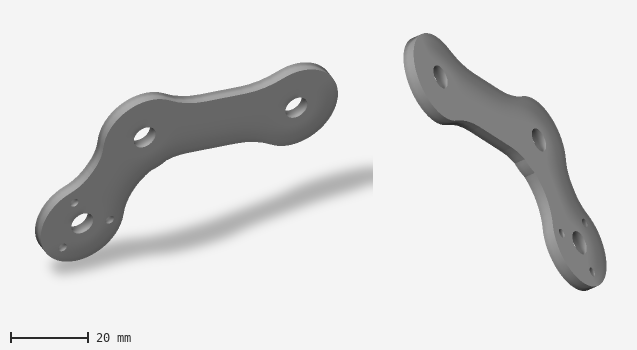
import cadquery as cq
import math

thickness = 3.2
end_radius = 12.05
waist_half_width = 8.0
long_arm_blend = 23.2
outer_elbow_blend = 12.4
inner_elbow_blend = 15.8
pivot_diameter = 6.4
screw_diameter = 2.4
screw_circle_radius = 8.2
screw_count = 3
first_screw_angle = 106.3

far_pivot = (43.9, -7.3)
elbow_pivot = (0.0, 0.0)
near_pivot = (-18.1, -21.9)


def offset(point, direction, distance):
    return (point[0] + direction[0] * distance, point[1] + direction[1] * distance)


def unit_vector(start, end):
    length = math.dist(start, end)
    return ((end[0] - start[0]) / length, (end[1] - start[1]) / length)


def left_normal(direction):
    return (-direction[1], direction[0])


def arc_middle(center, radius, start, end):
    """Middle of the minor arc from start to end."""
    chord_middle = ((start[0] + end[0]) / 2, (start[1] + end[1]) / 2)
    return offset(center, unit_vector(center, chord_middle), radius)


def waist_blend(pivot, other_pivot, side, radius):
    """Tangent arc from the round end at pivot to the arm edge; side is 1 for left, -1 for right.

    Returns the point on the round end, the middle of the arc and the point on the arm edge.
    """
    along = unit_vector(pivot, other_pivot)
    outward = offset((0, 0), left_normal(along), side)
    reach = math.sqrt((end_radius + radius) ** 2 - (waist_half_width + radius) ** 2)
    edge_point = offset(offset(pivot, along, reach), outward, waist_half_width)
    center = offset(edge_point, outward, radius)
    end_point = offset(pivot, unit_vector(pivot, center), end_radius)
    return end_point, arc_middle(center, radius, end_point, edge_point), edge_point


def inner_elbow():
    """Arc tangent to the inner edge of the long arm and to the near round end."""
    along = unit_vector(elbow_pivot, far_pivot)
    inward = left_normal(along)
    inward = (-inward[0], -inward[1])
    to_near = (near_pivot[0] - elbow_pivot[0], near_pivot[1] - elbow_pivot[1])
    near_along = to_near[0] * along[0] + to_near[1] * along[1]
    near_inward = to_near[0] * inward[0] + to_near[1] * inward[1]
    center_depth = waist_half_width + inner_elbow_blend
    span = math.sqrt((end_radius + inner_elbow_blend) ** 2 - (center_depth - near_inward) ** 2)
    edge_point = offset(
        offset(elbow_pivot, along, near_along + span), inward, waist_half_width
    )
    center = offset(edge_point, inward, inner_elbow_blend)
    end_point = offset(near_pivot, unit_vector(near_pivot, center), end_radius)
    return edge_point, arc_middle(center, inner_elbow_blend, edge_point, end_point), end_point


def far_side(pivot, neighbour):
    """Point of a round end that faces away from neighbour."""
    return offset(pivot, unit_vector(neighbour, pivot), end_radius)


def link_plate():
    far_top = waist_blend(far_pivot, elbow_pivot, -1, long_arm_blend)
    elbow_top = waist_blend(elbow_pivot, far_pivot, 1, long_arm_blend)
    elbow_outer = waist_blend(elbow_pivot, near_pivot, -1, outer_elbow_blend)
    near_outer = waist_blend(near_pivot, elbow_pivot, 1, outer_elbow_blend)
    far_bottom = waist_blend(far_pivot, elbow_pivot, 1, long_arm_blend)
    inner_start, inner_middle, inner_end = inner_elbow()
    elbow_crown = arc_middle(elbow_pivot, end_radius, elbow_top[0], elbow_outer[0])
    return (
        cq.Workplane("YZ")
        .moveTo(*far_top[0])
        .threePointArc(far_top[1], far_top[2])
        .lineTo(*elbow_top[2])
        .threePointArc(elbow_top[1], elbow_top[0])
        .threePointArc(elbow_crown, elbow_outer[0])
        .threePointArc(elbow_outer[1], elbow_outer[2])
        .lineTo(*near_outer[2])
        .threePointArc(near_outer[1], near_outer[0])
        .threePointArc(far_side(near_pivot, elbow_pivot), inner_end)
        .threePointArc(inner_middle, inner_start)
        .lineTo(*far_bottom[2])
        .threePointArc(far_bottom[1], far_bottom[0])
        .threePointArc(far_side(far_pivot, elbow_pivot), far_top[0])
        .close()
        .extrude(thickness)
    )


def discs(centers, diameter):
    return cq.Workplane("YZ").pushPoints(centers).circle(diameter / 2).extrude(thickness)


def screw_centers():
    centers = []
    for index in range(screw_count):
        angle = math.radians(first_screw_angle + index * 360 / screw_count)
        centers.append(offset(near_pivot, (math.cos(angle), math.sin(angle)), screw_circle_radius))
    return centers


pivot_holes = discs([far_pivot, elbow_pivot, near_pivot], pivot_diameter)
screw_holes = discs(screw_centers(), screw_diameter)
elbow_disc = discs([elbow_pivot], 2 * end_radius)
result = link_plate().union(elbow_disc).cut(pivot_holes).cut(screw_holes)